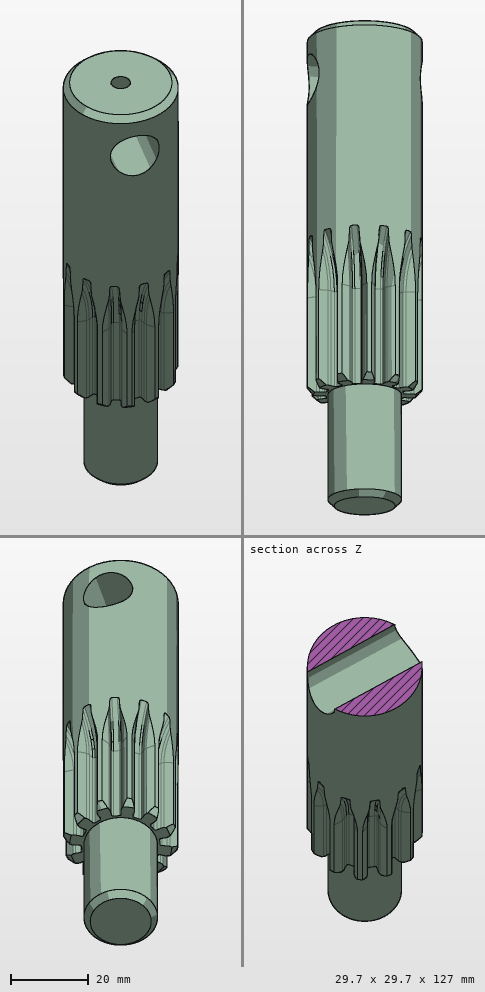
import cadquery as cq
import math

TOTAL_LENGTH = 127.0
BODY_DIAMETER = 29.7
JOURNAL_DIAMETER = 19.0
JOURNAL_LENGTH = 30.0
CHAMFER = 1.7

CROSS_HOLE_DIAMETER = 13.1
CROSS_HOLE_FROM_TOP = 12.7
TOP_HOLE_DIAMETER = 5.0

TOOTH_COUNT = 12
PITCH_DIAMETER = 25.4
PRESSURE_ANGLE = math.radians(20)
ROOT_DIAMETER = 20.3
ROOT_FILLET = 0.5
FIRST_GROOVE_ANGLE = 8.0
FULL_DEPTH_TOP = 55.6
CUTTER_RADIUS = 28.6
RUN_OUT_SWEEP = 45
CUT_CLEARANCE = 1.3

body_radius = BODY_DIAMETER / 2
root_radius = ROOT_DIAMETER / 2
pitch_radius = PITCH_DIAMETER / 2
base_radius = pitch_radius * math.cos(PRESSURE_ANGLE)
cross_hole_z = TOTAL_LENGTH - CROSS_HOLE_FROM_TOP


def involute(angle):
    return math.tan(angle) - angle


def groove_half_angle(radius):
    """Half the angular width of a tooth space between its involute flanks."""
    base_half_angle = math.pi / (2 * TOOTH_COUNT) - involute(PRESSURE_ANGLE)
    return base_half_angle + involute(math.acos(base_radius / radius))


def polar_point(radius, angle):
    return (radius * math.cos(angle), radius * math.sin(angle))


def make_shaft():
    body = (
        cq.Workplane("XY")
        .workplane(offset=JOURNAL_LENGTH)
        .circle(body_radius)
        .extrude(TOTAL_LENGTH - JOURNAL_LENGTH)
        .faces("<Z or >Z")
        .chamfer(CHAMFER)
    )
    journal = (
        cq.Workplane("XY")
        .circle(JOURNAL_DIAMETER / 2)
        .extrude(JOURNAL_LENGTH + CHAMFER)
        .faces("<Z")
        .chamfer(CHAMFER)
    )
    return body.union(journal)


def groove_outline():
    """Section of a tooth space centred on +X, drawn at the height where the run-out starts."""
    radial_angle = groove_half_angle(base_radius)
    fillet_x = root_radius + ROOT_FILLET
    fillet_y = (fillet_x * math.sin(radial_angle) - ROOT_FILLET) / math.cos(radial_angle)
    fillet_end = (
        fillet_x - ROOT_FILLET * math.sin(radial_angle),
        fillet_y + ROOT_FILLET * math.cos(radial_angle),
    )

    outer_radius = body_radius + CUT_CLEARANCE
    flank_radii = (pitch_radius, (pitch_radius + outer_radius) / 2, outer_radius)
    inner, middle, outer = [polar_point(radius, groove_half_angle(radius)) for radius in flank_radii]

    return (
        cq.Workplane("XY")
        .workplane(offset=FULL_DEPTH_TOP)
        .moveTo(root_radius, 0)
        .lineTo(root_radius, fillet_y)
        .tangentArcPoint(fillet_end, relative=False)
        .lineTo(*polar_point(base_radius, radial_angle))
        .tangentArcPoint(inner, relative=False)
        .threePointArc(middle, outer)
        .lineTo(outer[0], 0)
        .mirrorX()
    )


def make_groove():
    """Straight tooth space that runs out upwards along the arc of a disc cutter."""
    straight = groove_outline().extrude(JOURNAL_LENGTH - CUT_CLEARANCE - FULL_DEPTH_TOP)
    cutter_axis_x = root_radius + CUTTER_RADIUS
    run_out = groove_outline().revolve(RUN_OUT_SWEEP, (cutter_axis_x, 0), (cutter_axis_x, 1))
    return straight.union(run_out)


def cut_teeth(part):
    groove = make_groove()
    for i in range(TOOTH_COUNT):
        angle = FIRST_GROOVE_ANGLE - 90 + i * 360 / TOOTH_COUNT
        part = part.cut(groove.rotate((0, 0, 0), (0, 0, 1), angle))
    return part


def cut_holes(part):
    hole_reach = body_radius + CUT_CLEARANCE
    cross_hole = (
        cq.Workplane("YZ")
        .workplane(offset=-hole_reach)
        .center(0, cross_hole_z)
        .circle(CROSS_HOLE_DIAMETER / 2)
        .extrude(2 * hole_reach)
    )
    top_hole = (
        cq.Workplane("XY")
        .workplane(offset=cross_hole_z)
        .circle(TOP_HOLE_DIAMETER / 2)
        .extrude(CROSS_HOLE_FROM_TOP + CUT_CLEARANCE)
    )
    return part.cut(cross_hole).cut(top_hole)


result = cut_holes(cut_teeth(make_shaft()))